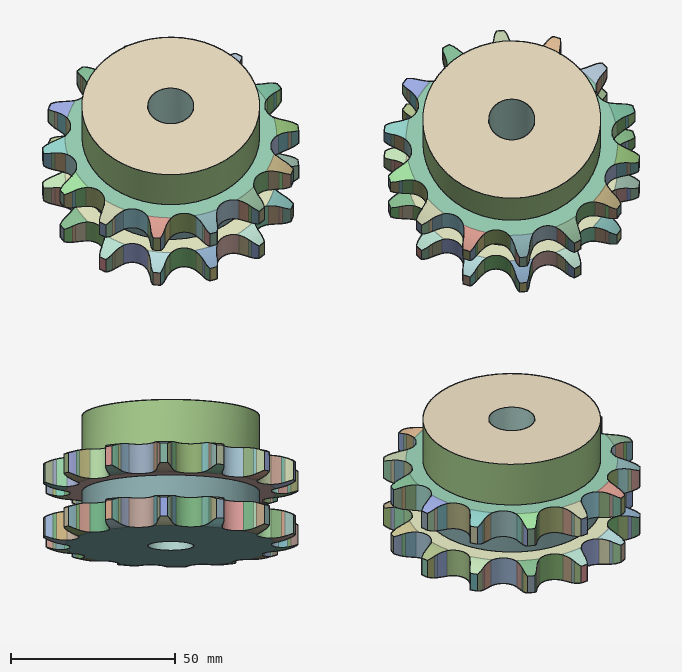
import cadquery as cq
import math


tooth_count = 14
pitch_diameter = 71.4
roller_diameter = 10.15
roller_clearance = 0.1
tip_diameter = 78.0

disc_thickness = 9.05
strand_spacing = 16.6
side_round_depth = 1.55
side_round_start_diameter = 64.3

hub_diameter = 54.0
overall_height = 40.0
bore_diameter = 14.0

pitch_radius = pitch_diameter / 2
tip_radius = tip_diameter / 2
tooth_angle = 2 * math.pi / tooth_count

seating_angle = math.radians(35 + 60 / tooth_count)
working_angle = math.radians(18 - 56 / tooth_count)
flank_angle = seating_angle - working_angle
seating_radius = (roller_diameter + roller_clearance) / 2
working_center_distance = 0.8 * roller_diameter
working_radius = seating_radius + working_center_distance
topping_center_distance = 1.4 * roller_diameter


def offset(start, distance, angle):
    """Move from a (radial, sideways) point; the angle turns inward from the sideways direction."""
    return (start[0] - distance * math.sin(angle), start[1] + distance * math.cos(angle))


def turned(point, angle):
    """Turn a point about the sprocket axis."""
    cosine, sine = math.cos(angle), math.sin(angle)
    return (point[0] * cosine - point[1] * sine, point[0] * sine + point[1] * cosine)


def mirrored(point):
    return (point[0], -point[1])


def half_gap_points():
    """Points from the root to the tip on one side of a tooth gap centred on +X."""
    roller_center = (pitch_radius, 0)
    root = (pitch_radius - seating_radius, 0)
    seating_end = offset(roller_center, seating_radius, seating_angle)

    working_center = offset(roller_center, -working_center_distance, seating_angle)
    working_middle = offset(working_center, working_radius, (seating_angle + flank_angle) / 2)
    working_end = offset(working_center, working_radius, flank_angle)

    topping_center = offset(roller_center, topping_center_distance, tooth_angle / 2)
    to_center = (topping_center[0] - working_end[0], topping_center[1] - working_end[1])
    topping_radius = to_center[1] * math.cos(flank_angle) - to_center[0] * math.sin(flank_angle)
    straight_end = offset(topping_center, -topping_radius, flank_angle)

    center_radius = math.hypot(*topping_center)
    center_bearing = math.atan2(topping_center[1], topping_center[0])
    tip_cosine = (tip_radius**2 + center_radius**2 - topping_radius**2) / (2 * tip_radius * center_radius)
    tip = turned((tip_radius, 0), center_bearing - math.acos(tip_cosine))
    tip_direction = math.atan2(tip[0] - topping_center[0], topping_center[1] - tip[1])
    topping_middle = offset(topping_center, -topping_radius, (flank_angle + tip_direction) / 2)
    return root, seating_end, working_middle, working_end, straight_end, topping_middle, tip


def toothed_blank():
    """Square-edged toothed disc with one tooth centred on +X."""
    root, seating_end, working_middle, working_end, straight_end, topping_middle, tip = half_gap_points()
    first_gap = tooth_angle / 2
    outline = cq.Workplane("XY").moveTo(*turned(mirrored(tip), first_gap))
    for index in range(tooth_count):
        gap = first_gap + index * tooth_angle

        def place(point):
            return turned(point, gap)

        outline = (
            outline.threePointArc(place(mirrored(topping_middle)), place(mirrored(straight_end)))
            .lineTo(*place(mirrored(working_end)))
            .threePointArc(place(mirrored(working_middle)), place(mirrored(seating_end)))
            .threePointArc(place(root), place(seating_end))
            .threePointArc(place(working_middle), place(working_end))
            .lineTo(*place(straight_end))
            .threePointArc(place(topping_middle), place(tip))
        )
        next_tip = turned(mirrored(tip), gap + tooth_angle)
        tooth_tip = turned((tip_radius, 0), gap + tooth_angle / 2)
        outline = outline.threePointArc(tooth_tip, next_tip)
    return outline.close().extrude(disc_thickness)


def rounded_envelope():
    """Disc whose sides curve in toward the tip, tangent to the flat faces."""
    start_radius = side_round_start_diameter / 2
    reach = tip_radius - start_radius
    round_radius = (reach**2 + side_round_depth**2) / (2 * side_round_depth)
    middle_reach = reach / 2
    middle_depth = round_radius - math.sqrt(round_radius**2 - middle_reach**2)
    middle_radius = start_radius + middle_reach
    return (
        cq.Workplane("XZ")
        .lineTo(start_radius, 0)
        .threePointArc((middle_radius, middle_depth), (tip_radius, side_round_depth))
        .lineTo(tip_radius, disc_thickness - side_round_depth)
        .threePointArc((middle_radius, disc_thickness - middle_depth), (start_radius, disc_thickness))
        .lineTo(0, disc_thickness)
        .close()
        .revolve(360, (0, 0, 0), (0, 1, 0))
    )


toothed_disc = toothed_blank().intersect(rounded_envelope())
hub = cq.Workplane("XY").circle(hub_diameter / 2).extrude(overall_height)
bore = cq.Workplane("XY").circle(bore_diameter / 2).extrude(overall_height)

result = hub.union(toothed_disc).union(toothed_disc.translate((0, 0, strand_spacing))).cut(bore)